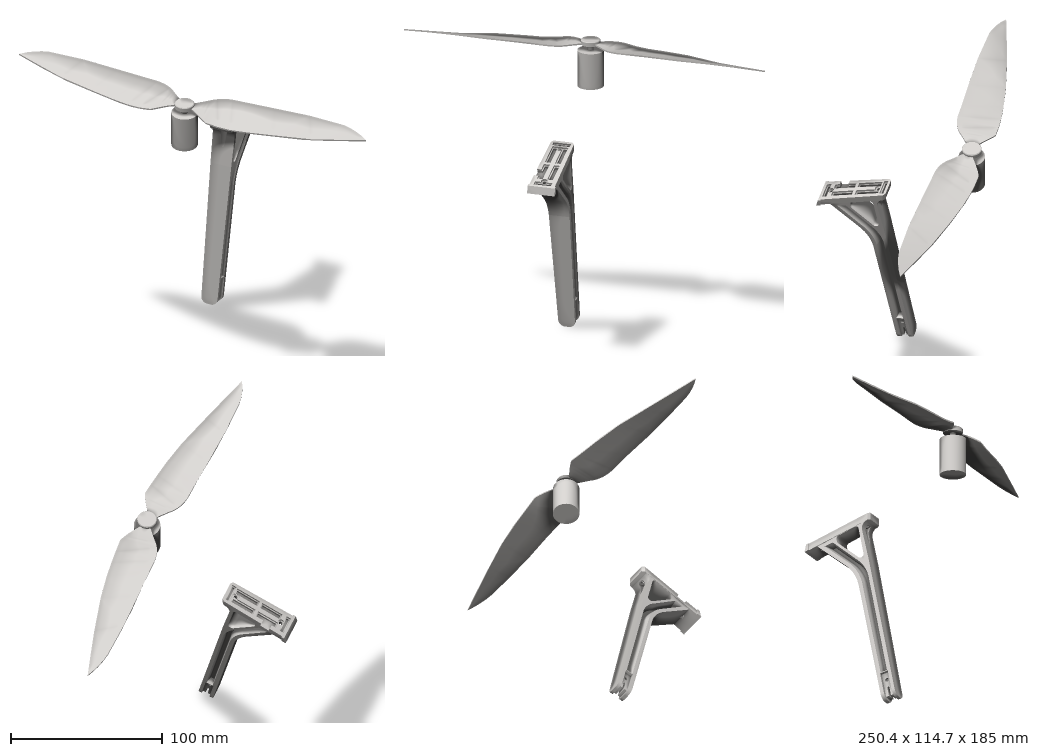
import cadquery as cq
import math


MOTOR_RADIUS = 8.8
MOTOR_HEIGHT = 25.0
LID_THICKNESS = 2.0
SHAFT_RADIUS = 2.0
SHAFT_LENGTH = 4.3

SPAN_HALF = 125.2
HUB_RADIUS = 6.5
HUB_HEIGHT = 3.3
HUB_CHAMFER = 0.5
HUB_BOTTOM = MOTOR_HEIGHT + SHAFT_LENGTH
BLADE_THICKNESS = 1.0
BLADE_SLAB_HALF_WIDTH = 25.0
BLADE_STATIONS = [
    (3.8, 30.0, 0.0),
    (15.0, 29.8, 0.06),
    (27.5, 28.5, 0.16),
    (45.0, 28.0, 0.2),
    (75.0, 27.3, 0.25),
    (110.2, 25.0, 0.36),
    (SPAN_HALF + 1.3, 24.3, 0.36),
]

LEG_LEAN = 11.0
FOOT_Y = 39.0
FOOT_Z = -150.2
LEG_DEPTH = 10.5
FOOT_HALF_WIDTH = 5.8
LEG_TOP_HEIGHT = 130.2
LEG_TOP_HALF_WIDTH = 8.0
FOOT_CORNER_RADIUS = 4.5
FRONT_ARM_THICKNESS = 2.8
FRONT_FLANGE = 2.3
REAR_FLANGE = 2.5
WINDOW_FILLET = 2.3
RECESS_BOTTOM = 18.5
RECESS_DRAFT = 15.0
WEB_HALF = 1.8
FOOT_WEB_HALF = 3.5
WEB_END_HEIGHT = 2.0
FOOT_HOLE_HEIGHT = 13.5
FOOT_HOLE_RADIUS = 1.3
FOOT_HOLE_DEPTH = 1.5
FOOT_SLOT_WIDTH = 1.5
FOOT_SLOT_TOP = 8.5

PLATE_FRONT_Y = 57.3
PLATE_REAR_Y = 103.0
PLATE_FRONT_TOP_Z = -19.3
PLATE_TILT = 19.3
PLATE_DROP = 4.8
REAR_LIP_Y = 104.2
REAR_LIP_Z = -40.3
LIP_LENGTH = 3.0
LIP_HALF_WIDTH = 9.5
PLATE_REAR_HALF_WIDTH = 8.8
PLATE_FRONT_HALF_WIDTH = 8.0
PLATE_CORNER_WIDTH = 1.5
PLATE_CORNER_LENGTH = 1.5
POCKET_DEPTH = 2.8
LEDGE_DEPTH = 1.3
LEDGE_WIDTH = 0.8
LONG_POCKET_INNER = 1.5
LONG_POCKET_OUTER = 5.5
FRONT_POCKETS = (5.8, 22.8)
REAR_POCKETS = (24.8, 40.0)
FRONT_CROSS_POCKET = (1.8, 4.8)
REAR_CROSS_POCKET = (43.0, 46.3)
CROSS_POCKET_HALF_WIDTH = 6.0
NOTCH = (30.5, 37.0)
NOTCH_INNER = 3.0
SCREW_RADIUS = 1.3
SCREW_HEAD_RADIUS = 2.13
SCREW_HEAD_DEPTH = 1.5
FRONT_SCREW = 7.5
REAR_SCREW = 41.8
CHANNEL_RADIUS = 2.5
CHANNEL_LENGTH = 22.5

CUT_REACH = 15.0
OVERSHOOT = 2.5
BLANK_REACH = 50.0


def make_motor_can():
    return cq.Workplane("XY").circle(MOTOR_RADIUS).extrude(MOTOR_HEIGHT - LID_THICKNESS)


def make_motor_lid():
    lid = (
        cq.Workplane("XY")
        .workplane(offset=MOTOR_HEIGHT - LID_THICKNESS)
        .circle(MOTOR_RADIUS)
        .extrude(LID_THICKNESS)
    )
    return lid.faces(">Z").workplane().circle(SHAFT_RADIUS).extrude(SHAFT_LENGTH)


def make_blade():
    """Right-hand blade: its plan outline cut out of a thin twisted slab."""
    outline = (
        cq.Workplane("XY")
        .moveTo(4.0, 4.0)
        .lineTo(11.8, 10.5)
        .spline([(20.8, 16.3), (38.8, 17.8), (61.3, 19.0), (106.7, 19.0)], includeCurrent=True)
        .spline([(115.7, 17.0), (SPAN_HALF, 12.8)], includeCurrent=True)
        .spline([(106.7, 7.0), (61.3, -5.3), (38.8, -9.0), (20.0, -10.5)], includeCurrent=True)
        .spline([(16.3, -8.8), (10.3, -5.0), (4.0, -1.3)], includeCurrent=True)
        .close()
        .extrude(2 * HUB_BOTTOM)
    )
    wires = []
    for x, height, rise in BLADE_STATIONS:
        corners = []
        for side, face in ((-1, -1), (1, -1), (1, 1), (-1, 1)):
            y = side * BLADE_SLAB_HALF_WIDTH
            corners.append(cq.Vector(x, y, height + rise * y + face * BLADE_THICKNESS / 2))
        wires.append(cq.Wire.makePolygon(corners, close=True))
    slab = cq.Workplane(cq.Solid.makeLoft(wires))
    return slab.intersect(outline)


def make_propeller():
    hub = (
        cq.Workplane("XY")
        .workplane(offset=HUB_BOTTOM)
        .circle(HUB_RADIUS)
        .extrude(HUB_HEIGHT)
        .faces(">Z")
        .chamfer(HUB_CHAMFER)
    )
    blade = make_blade()
    return hub.union(blade).union(blade.mirror("YZ"))


def make_leg_body():
    """Foot, straight shank and the two arms, tapered in width towards the foot."""
    side = (
        cq.Workplane("YZ")
        .polyline([(0, 0), (0, 100.5), (0.5, 121.7)])
        .threePointArc((-0.8, 125.2), (-3.8, 127.2))
        .polyline([(-3.8, 128.2), (33.8, 122.7), (33.8, 121.5), (17.5, 102.2)], includeCurrent=True)
        .threePointArc((12.5, 94.2), (LEG_DEPTH, 85.1))
        .lineTo(LEG_DEPTH, 0)
        .close()
        .extrude(CUT_REACH, both=True)
    )
    front = (
        cq.Workplane("XZ")
        .polyline(
            [
                (-FOOT_HALF_WIDTH, 0),
                (FOOT_HALF_WIDTH, 0),
                (LEG_TOP_HALF_WIDTH, LEG_TOP_HEIGHT),
                (-LEG_TOP_HALF_WIDTH, LEG_TOP_HEIGHT),
            ]
        )
        .close()
        .extrude(BLANK_REACH, both=True)
        .faces("<Z")
        .edges("|Y")
        .fillet(FOOT_CORNER_RADIUS)
    )
    window = (
        cq.Workplane("YZ")
        .polyline(
            [(FRONT_ARM_THICKNESS, 126.0), (FRONT_ARM_THICKNESS, 99.0), (19.5, 119.2), (19.5, 123.5)]
        )
        .close()
        .extrude(CUT_REACH, both=True)
        .edges("|X")
        .fillet(WINDOW_FILLET)
    )
    return side.intersect(front).cut(window)


def make_side_recess():
    """Recess in the -X side of the leg, following the shank and the rear arm."""
    back = LEG_DEPTH - REAR_FLANGE
    return (
        cq.Workplane("YZ")
        .workplane(offset=-LEG_TOP_HALF_WIDTH)
        .moveTo(FRONT_FLANGE, RECESS_BOTTOM)
        .lineTo(back, RECESS_BOTTOM)
        .lineTo(back, 86.0)
        .threePointArc((10.3, 95.7), (15.5, 103.7))
        .lineTo(28.8, 120.0)
        .lineTo(22.5, 120.5)
        .lineTo(9.0, 103.7)
        .threePointArc((4.5, 97.2), (FRONT_FLANGE, 89.0))
        .close()
        .extrude(LEG_TOP_HALF_WIDTH - WEB_HALF, taper=RECESS_DRAFT)
    )


def box_between(low, high):
    size = [b - a for a, b in zip(low, high)]
    return cq.Workplane("XY").box(*size, centered=False).translate(low)


def cut_foot(leg):
    """Thin the web at the foot, sink a hole in each side of it and slot its end."""
    back = LEG_DEPTH - REAR_FLANGE
    middle = (FRONT_FLANGE + back) / 2
    step = box_between((-CUT_REACH, FRONT_FLANGE, -OVERSHOOT), (-FOOT_WEB_HALF, back, RECESS_BOTTOM))
    hole = (
        cq.Workplane("YZ")
        .workplane(offset=-FOOT_WEB_HALF)
        .center(middle, FOOT_HOLE_HEIGHT)
        .circle(FOOT_HOLE_RADIUS)
        .extrude(FOOT_HOLE_DEPTH)
    )
    for cutter in (step, hole):
        leg = leg.cut(cutter).cut(cutter.mirror("YZ"))
    web_end = box_between((-CUT_REACH, FRONT_FLANGE, -OVERSHOOT), (CUT_REACH, back, WEB_END_HEIGHT))
    slot = (
        cq.Workplane("YZ")
        .center(middle, 0)
        .slot2D(2 * FOOT_SLOT_TOP, FOOT_SLOT_WIDTH, 90)
        .extrude(CUT_REACH, both=True)
    )
    return leg.cut(web_end).cut(slot)


def plate_plane(distance, depth=0.0):
    """Plane parallel to the plate's top, at a distance back from its front edge."""
    tilt = math.radians(PLATE_TILT)
    normal = (0, math.sin(tilt), math.cos(tilt))
    origin = (
        0,
        PLATE_FRONT_Y + distance * math.cos(tilt) - depth * normal[1],
        PLATE_FRONT_TOP_Z - distance * math.sin(tilt) - depth * normal[2],
    )
    return cq.Workplane(cq.Plane(origin=origin, xDir=(1, 0, 0), normal=normal))


def make_plate_blank():
    fall = math.tan(math.radians(PLATE_TILT)) * (PLATE_REAR_Y - PLATE_FRONT_Y)
    side = (
        cq.Workplane("YZ")
        .polyline(
            [
                (PLATE_FRONT_Y, PLATE_FRONT_TOP_Z),
                (PLATE_REAR_Y, PLATE_FRONT_TOP_Z - fall),
                (REAR_LIP_Y, REAR_LIP_Z),
                (PLATE_FRONT_Y, PLATE_FRONT_TOP_Z - PLATE_DROP),
            ]
        )
        .close()
        .extrude(CUT_REACH, both=True)
    )
    lip_front_y = REAR_LIP_Y - LIP_LENGTH
    half_plan = [
        (0, PLATE_FRONT_Y),
        (PLATE_FRONT_HALF_WIDTH - PLATE_CORNER_WIDTH, PLATE_FRONT_Y),
        (PLATE_FRONT_HALF_WIDTH, PLATE_FRONT_Y + PLATE_CORNER_LENGTH),
        (PLATE_REAR_HALF_WIDTH, lip_front_y),
        (LIP_HALF_WIDTH, lip_front_y),
        (LIP_HALF_WIDTH, REAR_LIP_Y),
        (0, REAR_LIP_Y),
    ]
    plan = cq.Workplane("XY").polyline(half_plan).mirrorY().extrude(-BLANK_REACH)
    return side.intersect(plan)


def make_pocket(x_range, span, depth):
    width = x_range[1] - x_range[0]
    length = span[1] - span[0]
    return (
        plate_plane(sum(span) / 2, depth)
        .center(sum(x_range) / 2, 0)
        .rect(width, length)
        .extrude(depth + OVERSHOOT)
    )


def make_stepped_pocket(x_range, span):
    ledge = make_pocket(x_range, span, LEDGE_DEPTH)
    inner_x = (x_range[0] + LEDGE_WIDTH, x_range[1] - LEDGE_WIDTH)
    inner_span = (span[0] + LEDGE_WIDTH, span[1] - LEDGE_WIDTH)
    return ledge.union(make_pocket(inner_x, inner_span, POCKET_DEPTH))


def cut_plate(leg):
    """Pockets between the plate's ribs, the side notch and the two screw holes."""
    cross_x = (-CROSS_POCKET_HALF_WIDTH, CROSS_POCKET_HALF_WIDTH)
    for span in (FRONT_CROSS_POCKET, REAR_CROSS_POCKET):
        leg = leg.cut(make_stepped_pocket(cross_x, span))
    for span in (FRONT_POCKETS, REAR_POCKETS):
        leg = leg.cut(make_stepped_pocket((LONG_POCKET_INNER, LONG_POCKET_OUTER), span))
        leg = leg.cut(make_stepped_pocket((-LONG_POCKET_OUTER, -LONG_POCKET_INNER), span))
    leg = leg.cut(make_pocket((NOTCH_INNER, CUT_REACH), NOTCH, POCKET_DEPTH))
    for distance in (FRONT_SCREW, REAR_SCREW):
        hole = plate_plane(distance).circle(SCREW_RADIUS)
        leg = leg.cut(hole.extrude(-PLATE_DROP - OVERSHOOT))
        head = plate_plane(distance, SCREW_HEAD_DEPTH).circle(SCREW_HEAD_RADIUS)
        leg = leg.cut(head.extrude(SCREW_HEAD_DEPTH + OVERSHOOT))
    channel = plate_plane(FRONT_SCREW, PLATE_DROP).circle(CHANNEL_RADIUS)
    return leg.cut(channel.extrude(-CHANNEL_LENGTH))


def make_leg():
    recess = make_side_recess()
    leg = make_leg_body().cut(recess).cut(recess.mirror("YZ"))
    leg = cut_foot(leg)
    leg = leg.rotate((0, 0, 0), (1, 0, 0), -LEG_LEAN).translate((0, FOOT_Y, FOOT_Z))
    return cut_plate(leg.union(make_plate_blank()))


motor_can = make_motor_can()
motor_lid = make_motor_lid()
propeller = make_propeller()
leg = make_leg()

bodies = [motor_can, motor_lid, propeller, leg]
result = cq.Compound.makeCompound([body.solids().val() for body in bodies])